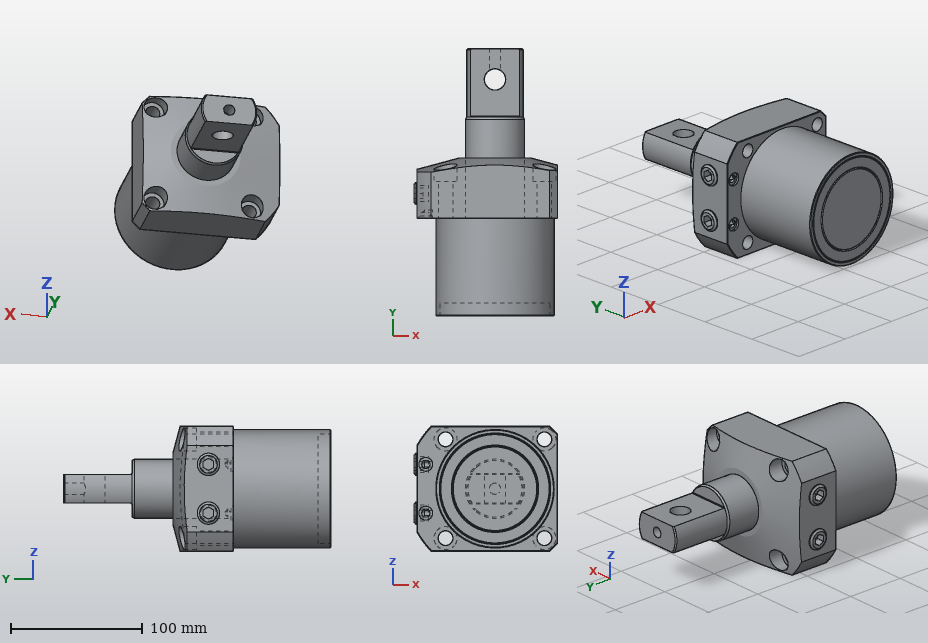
import cadquery as cq
import math


flange_half = 47.5
flange_port_side = 59.3
flange_thickness = 46.0
corner_turning_radius = 67.8
corner_chamfer = 6.0
rear_edge_chamfer = 0.5
nose_radius = 27.2
nose_angle = 15.0
bolt_spacing = 75.0
bolt_hole_diameter = 11.0
bolt_head_diameter = 17.5
bolt_seat_y = 28.0

barrel_radius = 45.0
barrel_length = 74.0
barrel_chamfer = 0.6
cap_radius = 41.7
cap_thickness = 10.0
cap_rim_chamfer = 0.6
cap_groove_radius = 32.45
cap_groove_depth = 0.75

rod_radius = 22.5
rod_reach = 31.0
rod_chamfer_length = 1.8
tongue_radius = 21.5
tongue_thickness = 22.0
tongue_length = 52.0
tongue_chamfer = 1.0
tongue_foot_radius = 0.6
eye_diameter = 16.0
eye_from_end = 23.5
tip_hole_diameter = 8.5

port_spacing = 37.0
port_x = -52.5
seal_recess_diameter = 10.5
seal_recess_depth = 1.8
port_diameter = 6.2
port_depth = 4.5
drill_point_angle = 118.0
cross_bore_diameter = 4.0
cross_bore_start_x = -53.5
cross_bore_length = 6.0

plug_y = 19.0
plug_head_diameter = 17.0
plug_head_height = 2.2
plug_taper_height = 1.4
plug_taper_width = 1.8
plug_stem_diameter = 12.0
plug_stem_length = 9.0
hex_across_flats = 8.0
hex_depth = 7.0

port_heights = [-port_spacing / 2, port_spacing / 2]


def rod_along_y(radius, start_y, end_y):
    """Solid cylinder on the Y axis."""
    return cq.Workplane("XZ", origin=(0, start_y, 0)).circle(radius).extrude(start_y - end_y)


def flange_block():
    """Flange plate with its corners, rear edge chamfer and conical nose."""
    turned_x = math.sqrt(corner_turning_radius**2 - flange_half**2)
    turned_z = math.sqrt(corner_turning_radius**2 - flange_port_side**2)
    middle_angle = (math.atan2(flange_half, turned_x) + math.atan2(turned_z, flange_port_side)) / 2
    middle_x = corner_turning_radius * math.cos(middle_angle)
    middle_z = corner_turning_radius * math.sin(middle_angle)
    chamfer_start = flange_half - corner_chamfer
    plate = (
        cq.Workplane("XZ")
        .moveTo(-flange_port_side, -turned_z)
        .lineTo(-flange_port_side, turned_z)
        .threePointArc((-middle_x, middle_z), (-turned_x, flange_half))
        .lineTo(chamfer_start, flange_half)
        .lineTo(flange_half, chamfer_start)
        .lineTo(flange_half, -chamfer_start)
        .lineTo(chamfer_start, -flange_half)
        .lineTo(-turned_x, -flange_half)
        .threePointArc((-middle_x, -middle_z), (-flange_port_side, -turned_z))
        .close()
        .extrude(-flange_thickness)
        .faces("<Y")
        .chamfer(rear_edge_chamfer)
    )
    cone_drop = (corner_turning_radius - nose_radius) * math.tan(math.radians(nose_angle))
    turned_envelope = (
        cq.Workplane("XY")
        .polyline([
            (0, 0),
            (corner_turning_radius, 0),
            (corner_turning_radius, flange_thickness - cone_drop),
            (nose_radius, flange_thickness),
            (0, flange_thickness),
        ])
        .close()
        .revolve(360, (0, 0, 0), (0, 1, 0))
    )
    return plate.intersect(turned_envelope)


def bolt_pattern(diameter, start_y):
    """Four cylinders on the bolt square, from start_y through the nose side of the flange."""
    return (
        cq.Workplane("XZ", origin=(0, start_y, 0))
        .rect(bolt_spacing, bolt_spacing, forConstruction=True)
        .vertices()
        .circle(diameter / 2)
        .extrude(start_y - flange_thickness)
    )


def port_cavity(height):
    """Seal recess, drilled port with its conical bottom, and the cross bore at the bottom."""
    port_radius = port_diameter / 2
    recess_radius = seal_recess_diameter / 2
    point_length = port_radius / math.tan(math.radians(drill_point_angle / 2))
    drilling = (
        cq.Workplane("XY", origin=(port_x, 0, height))
        .polyline([
            (0, 0),
            (recess_radius, 0),
            (recess_radius, seal_recess_depth),
            (port_radius, seal_recess_depth),
            (port_radius, port_depth),
            (0, port_depth + point_length),
        ])
        .close()
        .revolve(360, (0, 0, 0), (0, 1, 0))
    )
    cross_bore = (
        cq.Workplane("YZ", origin=(cross_bore_start_x, port_depth, height))
        .circle(cross_bore_diameter / 2)
        .extrude(cross_bore_length)
    )
    return drilling.union(cross_bore)


def make_plug(height):
    """Screw plug with a chamfered round head and a hexagon socket."""
    head = (
        cq.Workplane("YZ", origin=(-flange_port_side, plug_y, height))
        .circle(plug_head_diameter / 2)
        .extrude(-plug_head_height)
        .faces("<X")
        .chamfer(plug_taper_height, plug_taper_width)
    )
    hex_across_corners = hex_across_flats / math.cos(math.radians(30))
    socket = (
        cq.Workplane("YZ", origin=(-flange_port_side - plug_head_height, plug_y, height))
        .transformed(rotate=(0, 0, 90))
        .polygon(6, hex_across_corners)
        .extrude(hex_depth)
    )
    return head.union(plug_stem(height)).cut(socket)


def plug_stem(height):
    """Cylinder that fills the plug's hole in the flange."""
    return (
        cq.Workplane("YZ", origin=(-flange_port_side, plug_y, height))
        .circle(plug_stem_diameter / 2)
        .extrude(plug_stem_length)
    )


def cap_bore_mouth():
    """Conical lead-in around the end cap."""
    mouth_radius = cap_radius + cap_rim_chamfer
    return (
        cq.Workplane("XZ", origin=(0, -barrel_length, 0))
        .circle(mouth_radius)
        .extrude(-cap_rim_chamfer, taper=45)
    )


def make_housing():
    """Flange and barrel in one piece, with the seats of the other bodies."""
    barrel = rod_along_y(barrel_radius, -barrel_length, 0).faces("<Y").chamfer(barrel_chamfer)
    body = flange_block().union(barrel)
    body = body.cut(bolt_pattern(bolt_hole_diameter, 0))
    body = body.cut(bolt_pattern(bolt_head_diameter, bolt_seat_y))
    body = body.cut(rod_along_y(rod_radius, 0, flange_thickness))
    body = body.cut(rod_along_y(cap_radius, -barrel_length, cap_thickness - barrel_length))
    body = body.cut(cap_bore_mouth())
    for height in port_heights:
        body = body.cut(port_cavity(height)).cut(plug_stem(height))
    return body


def make_end_cap():
    """Disc in the open end of the barrel, with a chamfered rim and a V-shaped ring groove."""
    disc = rod_along_y(cap_radius, -barrel_length, cap_thickness - barrel_length)
    groove = (
        cq.Workplane("XY", origin=(0, -barrel_length, 0))
        .polyline([
            (cap_groove_radius - cap_groove_depth, 0),
            (cap_groove_radius + cap_groove_depth, 0),
            (cap_groove_radius, cap_groove_depth),
        ])
        .close()
        .revolve(360, (0, 0, 0), (0, 1, 0))
    )
    return disc.faces("<Y").chamfer(cap_rim_chamfer).cut(groove)


def make_rod():
    """Piston rod with a flat tongue, a cross eye and a hole from the tip into the eye."""
    shoulder_y = flange_thickness + rod_reach
    tip_y = shoulder_y + tongue_length
    shaft = (
        rod_along_y(rod_radius, 0, shoulder_y)
        .faces(">Y")
        .chamfer(rod_chamfer_length, rod_radius - tongue_radius)
    )
    half_thickness = tongue_thickness / 2
    foot_half = half_thickness + tongue_foot_radius
    foot_y = shoulder_y + tongue_foot_radius
    flat_bar = (
        cq.Workplane("YZ", origin=(-tongue_radius, 0, 0))
        .moveTo(shoulder_y, -foot_half)
        .radiusArc((foot_y, -half_thickness), -tongue_foot_radius)
        .lineTo(tip_y, -half_thickness)
        .lineTo(tip_y, half_thickness)
        .lineTo(foot_y, half_thickness)
        .radiusArc((shoulder_y, foot_half), -tongue_foot_radius)
        .close()
        .extrude(2 * tongue_radius)
    )
    round_end = rod_along_y(tongue_radius, shoulder_y, tip_y).faces(">Y").chamfer(tongue_chamfer)
    tongue = round_end.intersect(flat_bar)
    eye = (
        cq.Workplane("XY", origin=(0, tip_y - eye_from_end, -tongue_thickness / 2))
        .circle(eye_diameter / 2)
        .extrude(tongue_thickness)
    )
    tip_hole = rod_along_y(tip_hole_diameter / 2, tip_y - eye_from_end, tip_y)
    return shaft.union(tongue).cut(eye).cut(tip_hole)


housing = make_housing()
end_cap = make_end_cap()
rod = make_rod()
plugs = [make_plug(height) for height in port_heights]

result = cq.Compound.makeCompound(
    [housing.val(), end_cap.val(), rod.val(), *[plug.val() for plug in plugs]]
)